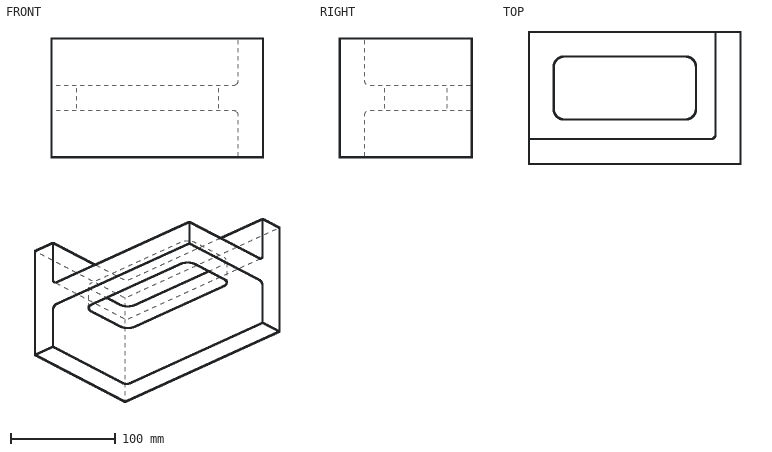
import cadquery as cq

LENGTH = 203.2
WIDTH = 127.0
HEIGHT = 114.3

PLATE = 23.8125
CORNER_RADIUS = 5.0

WINDOW_RIM = PLATE
WINDOW_WALL_GAP = 19.05
WINDOW_RADIUS = 10.0

POCKET_LENGTH = LENGTH - PLATE
POCKET_WIDTH = WIDTH - PLATE
POCKET_DEPTH = (HEIGHT - PLATE) / 2

WINDOW_LENGTH = POCKET_LENGTH - WINDOW_RIM - WINDOW_WALL_GAP
WINDOW_WIDTH = POCKET_WIDTH - WINDOW_RIM - WINDOW_WALL_GAP


def make_block():
    """Solid block with its centre at the origin."""
    return cq.Workplane("XY").box(LENGTH, WIDTH, HEIGHT)


def make_upper_pocket():
    """Space above the shelf, rounded along the three edges that meet at the inner corner."""
    pocket = (
        cq.Workplane("XY")
        .box(POCKET_LENGTH, POCKET_WIDTH, POCKET_DEPTH, centered=False)
        .translate((-LENGTH / 2, WIDTH / 2 - POCKET_WIDTH, PLATE / 2))
    )
    shelf_end_edge = pocket.edges(">X and <Z")
    shelf_front_edge = pocket.edges("<Y and <Z")
    wall_edge = pocket.edges(">X and <Y")
    return shelf_end_edge.add(shelf_front_edge).add(wall_edge).fillet(CORNER_RADIUS)


def make_window():
    """Cutter for the rounded rectangular opening through the shelf."""
    return (
        cq.Workplane("XY")
        .box(WINDOW_LENGTH, WINDOW_WIDTH, HEIGHT)
        .edges("|Z")
        .fillet(WINDOW_RADIUS)
        .translate((
            -LENGTH / 2 + WINDOW_RIM + WINDOW_LENGTH / 2,
            WIDTH / 2 - WINDOW_RIM - WINDOW_WIDTH / 2,
            0,
        ))
    )


upper_pocket = make_upper_pocket()
lower_pocket = upper_pocket.mirror("XY")

result = make_block().cut(upper_pocket).cut(lower_pocket).cut(make_window())